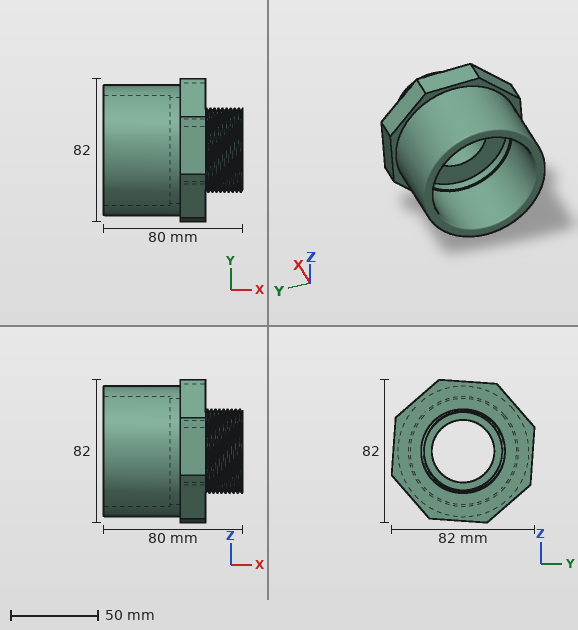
import cadquery as cq
import math

socket_length = 44.0
socket_diameter = 75.0
collar_length = 14.6
collar_across_flats = 79.9
collar_sides = 8
collar_tilt = -4.0
spigot_length = 21.4

mouth_bore_diameter = 63.0
mouth_bore_depth = 38.1
inner_bore_diameter = 61.0
inner_bore_depth = socket_length
through_bore_diameter = 35.8
rim_radius = 1.0

thread_root_diameter = 44.8
thread_crest_diameter = 48.2
thread_turns = 9.2
thread_pitch = spigot_length / thread_turns
ridge_root_width = 2.05
ridge_crest_width = 0.2
first_crest_offset = 2.2
lead_turns = 2

spigot_start = socket_length + collar_length
total_length = spigot_start + spigot_length


def cylinder(diameter, start, length):
    """Cylinder along X."""
    return cq.Workplane("YZ", origin=(start, 0, 0)).circle(diameter / 2).extrude(length)


def make_collar():
    """Octagonal wrench collar."""
    corner_diameter = collar_across_flats / math.cos(math.pi / collar_sides)
    flat_angle = 180 / collar_sides
    return (
        cq.Workplane("YZ", origin=(socket_length, 0, 0))
        .polygon(collar_sides, corner_diameter)
        .extrude(collar_length)
        .rotate((0, 0, 0), (1, 0, 0), flat_angle + collar_tilt)
    )


def make_fitting():
    """Socket, collar and plain spigot with the stepped bore through them."""
    socket = cylinder(socket_diameter, 0, socket_length)
    spigot = cylinder(thread_root_diameter, spigot_start, spigot_length)
    return (
        socket.union(make_collar())
        .union(spigot)
        .cut(cylinder(mouth_bore_diameter, 0, mouth_bore_depth))
        .cut(cylinder(inner_bore_diameter, 0, inner_bore_depth))
        .cut(cylinder(through_bore_diameter, 0, total_length))
        .faces("<X")
        .edges()
        .fillet(rim_radius)
    )


def ridge_helix(radius, offset, length):
    """Helix along Z, shifted by an offset, that one long edge of the ridge follows."""
    return cq.Wire.makeHelix(thread_pitch, length, radius, cq.Vector(0, 0, offset))


def make_ridge(length):
    """Untrimmed helical ridge along Z with a trapezoidal section on the spigot radius."""
    root_radius = thread_root_diameter / 2
    crest_radius = thread_crest_diameter / 2
    section = [
        (root_radius, -ridge_root_width / 2),
        (crest_radius, -ridge_crest_width / 2),
        (crest_radius, ridge_crest_width / 2),
        (root_radius, ridge_root_width / 2),
    ]
    helices = [ridge_helix(radius, offset, length) for radius, offset in section]
    sides = [cq.Face.makeRuledSurface(helices[i - 1], helices[i]) for i in range(len(helices))]
    end_caps = [
        cq.Face.makeFromWires(cq.Wire.makePolygon([helix.positionAt(end) for helix in helices], close=True))
        for end in (0, 1)
    ]
    faces = [face for side in sides for face in side.Faces()] + end_caps
    return cq.Workplane(cq.Solid.makeSolid(cq.Shell.makeShell(faces)))


def make_thread():
    """Right-handed helical ridge around the spigot, cut flat at both ends."""
    lead_length = lead_turns * thread_pitch
    ridge = (
        make_ridge(spigot_length + lead_length)
        .rotate((0, 0, 0), (0, 1, 0), 90)
        .translate((spigot_start + first_crest_offset - lead_length, 0, 0))
    )
    trim_size = 2 * thread_crest_diameter
    trim_plane = cq.Workplane("YZ", origin=(spigot_start, 0, 0))
    trim_block = trim_plane.rect(trim_size, trim_size).extrude(spigot_length)
    return ridge.intersect(trim_block)


fitting = make_fitting()
thread = make_thread()
result = cq.Compound.makeCompound([fitting.val(), *thread.vals()])